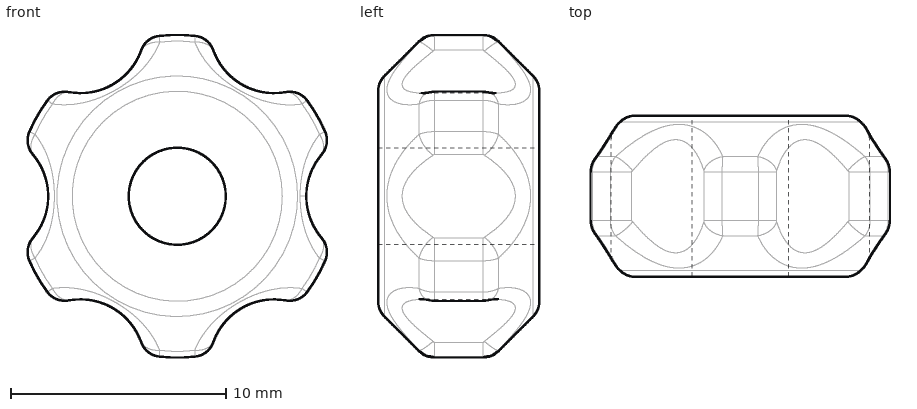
import cadquery as cq

outer_radius = 7.5
thickness = 7.5
bore_diameter = 4.5

rim_width = 3.09
taper = (thickness - rim_width) / 2
face_radius = outer_radius - taper

scallop_count = 6
scallop_radius = 3.0
scallop_center_distance = 9.0

edge_radius = 1.0


def make_blank():
    """Solid disc with a 45 degree taper on each end, centred on the origin."""
    half_thickness = thickness / 2
    half_rim = rim_width / 2
    profile = [
        (0, -half_thickness),
        (face_radius, -half_thickness),
        (outer_radius, -half_rim),
        (outer_radius, half_rim),
        (face_radius, half_thickness),
        (0, half_thickness),
    ]
    return cq.Workplane("XY").polyline(profile).close().revolve(360, (0, 0), (0, 1))


def make_scallops():
    """Ring of cylinders parallel to Y, the first one on the +X axis."""
    return (
        cq.Workplane("XZ")
        .polarArray(scallop_center_distance, 0, 360, scallop_count)
        .circle(scallop_radius)
        .extrude(thickness / 2, both=True)
    )


def make_bore():
    """Cylinder for the plain through bore."""
    return cq.Workplane("XZ").circle(bore_diameter / 2).extrude(thickness / 2, both=True)


knob = make_blank().cut(make_scallops()).clean()
rounded = knob.edges().fillet(edge_radius)
result = rounded.cut(make_bore())